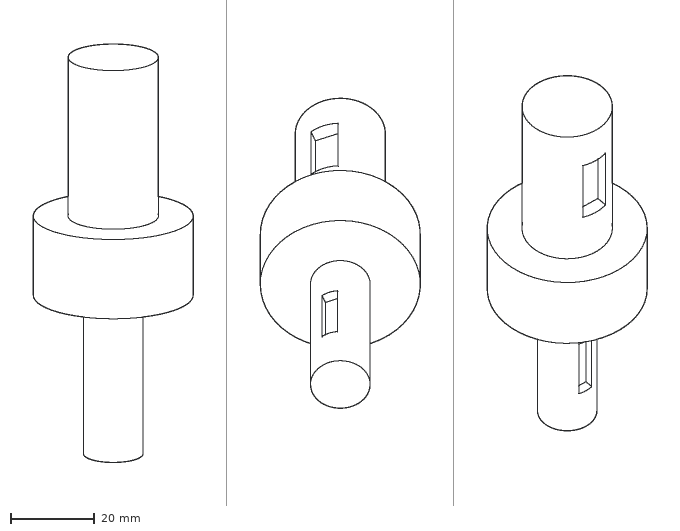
import cadquery as cq

lower_diameter = 14.4
lower_length = 40.0
collar_diameter = 38.6
collar_length = 20.0
upper_diameter = 21.8
upper_length = 40.0

upper_key_width = 7.0
upper_key_depth = 3.5
upper_key_length = 17.0
upper_key_end_gap = 10.0
lower_key_width = 4.0
lower_key_depth = 2.5
lower_key_length = 16.3
lower_key_end_gap = 12.0

collar_top = lower_length + collar_length
shaft_top = collar_top + upper_length


def cylinder(diameter, length, base_z):
    return cq.Workplane("XY").workplane(offset=base_z).circle(diameter / 2).extrude(length)


def keyway_cutter(shaft_diameter, width, depth, length, top_z):
    """Square-ended slot sunk into the +Y side, running down from top_z."""
    outer_y = shaft_diameter / 2
    return cq.Workplane("XY").box(width, depth, length).translate(
        (0, outer_y - depth / 2, top_z - length / 2)
    )


shaft = (
    cylinder(lower_diameter, lower_length, 0)
    .union(cylinder(collar_diameter, collar_length, lower_length))
    .union(cylinder(upper_diameter, upper_length, collar_top))
)

upper_keyway = keyway_cutter(
    upper_diameter, upper_key_width, upper_key_depth, upper_key_length, shaft_top - upper_key_end_gap
)
lower_keyway = keyway_cutter(
    lower_diameter, lower_key_width, lower_key_depth, lower_key_length, lower_length - lower_key_end_gap
)

result = shaft.cut(upper_keyway).cut(lower_keyway)